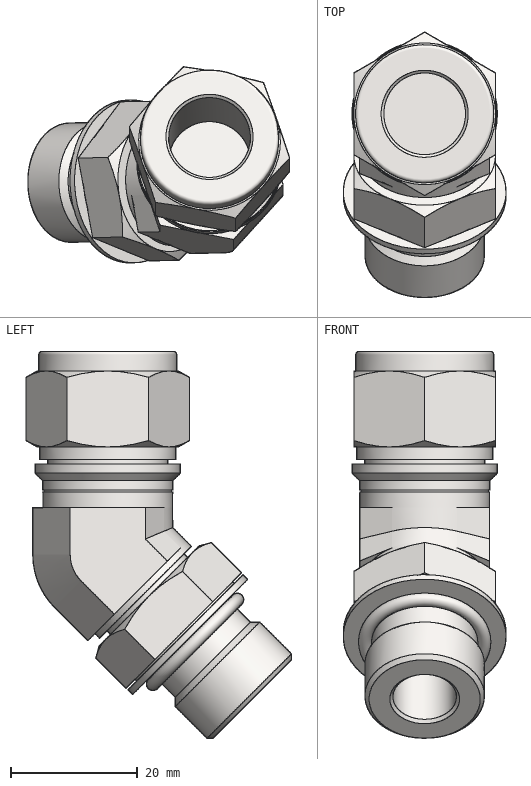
import cadquery as cq
import math

BEND_ANGLE = 45.0

BODY_FLATS = 20.5
BODY_LENGTH = 7.4
BODY_CORNER_RADIUS = BODY_FLATS / math.sqrt(3)

NUT_FLATS = 22.35
NUT_CORNER_DIAMETER = 2 * NUT_FLATS / math.sqrt(3)
NUT_CHAMFER_ANGLE = 30.0

GROOVE_BOTTOM = 9.9
GROOVE_TOP = 10.2
CONE_BOTTOM = 11.7
FLANGE_BOTTOM = 12.85
FLANGE_TOP = 14.3
DISH_BOTTOM = 13.1
SKIRT_BOTTOM = 15.0
TUBE_NUT_BOTTOM = 17.0
TUBE_NUT_TOP = 28.95
TUBE_END = 32.1

GROOVE_DIAMETER = 20.15
SLEEVE_DIAMETER = 20.6
FLANGE_DIAMETER = 23.0
DISH_DIAMETER = 22.6
TUBE_NECK_DIAMETER = 19.0
SKIRT_DIAMETER = 21.5
COLLAR_DIAMETER = 21.8
COLLAR_ROUND = 0.55
TUBE_BORE_DIAMETER = 12.9
TUBE_BORE_DEPTH = 18.3
TUBE_BORE_CHAMFER = 0.4

BODY_DISC_END = 8.45
STUD_NUT_START = 9.2
STUD_NUT_END = 17.0
WASHER_START = 17.35
WASHER_END = 18.4
SEAL_CENTER = 19.5
SHOULDER_START = 24.5
STUD_END = 32.25

LOCK_NECK_DIAMETER = 17.2
WASHER_SEAT_DIAMETER = 21.8
WASHER_DIAMETER = 25.7
STUD_NECK_DIAMETER = 16.8
STUD_DIAMETER = 18.9
STUD_CHAMFER = 0.7
SEAL_SECTION_RADIUS = 1.05
SEAL_RING_RADIUS = 9.4
STUD_BORE_DIAMETER = 10.0
STUD_BORE_CHAMFER = 0.5


def turned(profile):
    """Solid of revolution about Z from (diameter, height) corners, bottom to top."""
    points = [(diameter / 2, height) for diameter, height in profile]
    axis_points = [(0, points[-1][1]), (0, points[0][1])]
    outline = cq.Workplane("XZ").polyline(points + axis_points).close()
    return outline.revolve(360, (0, 0, 0), (0, 1, 0))


def disc(diameter, bottom, top):
    return turned([(diameter, bottom), (diameter, top)])


def hexagon(flats, bottom, top):
    """Hexagonal prism with flats facing +X and -X."""
    corner_diameter = 2 * flats / math.sqrt(3)
    prism = cq.Workplane("XY").polygon(6, corner_diameter).extrude(top - bottom)
    return prism.rotate((0, 0, 0), (0, 0, 1), 30).translate((0, 0, bottom))


def nut(bottom, top, chamfer_top):
    """Hexagon whose corners are turned off at the bottom and, optionally, the top."""
    drop = (NUT_CORNER_DIAMETER - NUT_FLATS) / 2 * math.tan(math.radians(NUT_CHAMFER_ANGLE))
    profile = [(NUT_FLATS, bottom), (NUT_CORNER_DIAMETER, bottom + drop)]
    if chamfer_top:
        profile += [(NUT_CORNER_DIAMETER, top - drop), (NUT_FLATS, top)]
    else:
        profile += [(NUT_CORNER_DIAMETER, top)]
    return hexagon(NUT_FLATS, bottom, top).intersect(turned(profile))


def body_leg():
    """Hexagonal leg whose inner (-Y) corner is rounded tangent to its flats."""
    leg = hexagon(BODY_FLATS, 0, BODY_LENGTH)
    return leg.edges("|Z").edges("<Y").fillet(BODY_FLATS / 2)


def body_bend():
    """Outer half of the hexagon swept around X to join the two legs."""
    half_flats = BODY_FLATS / 2
    half_side = BODY_CORNER_RADIUS / 2
    outline = [(-half_flats, 0), (half_flats, 0), (half_flats, half_side),
               (0, BODY_CORNER_RADIUS), (-half_flats, half_side)]
    half_hexagon = cq.Workplane("XY").polyline(outline).close()
    return half_hexagon.revolve(BEND_ANGLE, (0, 0, 0), (-1, 0, 0))


def to_stud_axis(shape):
    """Turn a shape built up along +Z onto the stud axis, keeping +Y on the outside."""
    return shape.mirror("XY").rotate((0, 0, 0), (1, 0, 0), -BEND_ANGLE)


def tube_leg():
    sleeve = turned([
        (BODY_FLATS, BODY_LENGTH), (BODY_FLATS, GROOVE_BOTTOM),
        (GROOVE_DIAMETER, GROOVE_BOTTOM), (GROOVE_DIAMETER, GROOVE_TOP),
        (SLEEVE_DIAMETER, GROOVE_TOP), (SLEEVE_DIAMETER, CONE_BOTTOM),
        (FLANGE_DIAMETER, FLANGE_BOTTOM), (FLANGE_DIAMETER, FLANGE_TOP),
        (DISH_DIAMETER, FLANGE_TOP), (TUBE_NECK_DIAMETER, DISH_BOTTOM),
        (TUBE_NECK_DIAMETER, SKIRT_BOTTOM), (SKIRT_DIAMETER, SKIRT_BOTTOM),
        (SKIRT_DIAMETER, TUBE_NUT_BOTTOM),
    ])
    collar = disc(COLLAR_DIAMETER, TUBE_NUT_TOP, TUBE_END).faces(">Z").edges().fillet(COLLAR_ROUND)
    return sleeve.union(nut(TUBE_NUT_BOTTOM, TUBE_NUT_TOP, True)).union(collar)


def stud_leg():
    """Stud leg built up along +Z, before it is turned onto its axis."""
    neck_end = SHOULDER_START - (STUD_DIAMETER - STUD_NECK_DIAMETER) / 2
    lock = turned([
        (BODY_FLATS, BODY_LENGTH), (BODY_FLATS, BODY_DISC_END),
        (LOCK_NECK_DIAMETER, BODY_DISC_END), (LOCK_NECK_DIAMETER, STUD_NUT_START),
    ])
    stud = turned([
        (WASHER_SEAT_DIAMETER, STUD_NUT_END), (WASHER_SEAT_DIAMETER, WASHER_START),
        (WASHER_DIAMETER, WASHER_START), (WASHER_DIAMETER, WASHER_END),
        (STUD_NECK_DIAMETER, WASHER_END), (STUD_NECK_DIAMETER, neck_end),
        (STUD_DIAMETER, SHOULDER_START), (STUD_DIAMETER, STUD_END - STUD_CHAMFER),
        (STUD_DIAMETER - 2 * STUD_CHAMFER, STUD_END),
    ])
    seal_section = cq.Workplane("XZ").center(-SEAL_RING_RADIUS, SEAL_CENTER).circle(SEAL_SECTION_RADIUS)
    seal = seal_section.revolve(360, (SEAL_RING_RADIUS, 0, 0), (SEAL_RING_RADIUS, 1, 0))
    return lock.union(nut(STUD_NUT_START, STUD_NUT_END, False)).union(stud).union(seal)


def bore(diameter, bottom, top, chamfer):
    """Blind bore with a chamfered mouth at the top."""
    return turned([
        (diameter, bottom), (diameter, top - chamfer), (diameter + 2 * chamfer, top),
    ])


elbow = body_leg().union(body_bend()).union(to_stud_axis(body_leg()))
fitting = elbow.union(tube_leg()).union(to_stud_axis(stud_leg()))

tube_bore = bore(TUBE_BORE_DIAMETER, TUBE_END - TUBE_BORE_DEPTH, TUBE_END, TUBE_BORE_CHAMFER)
stud_bore = bore(STUD_BORE_DIAMETER, 0, STUD_END, STUD_BORE_CHAMFER)
result = fitting.cut(tube_bore).cut(to_stud_axis(stud_bore))